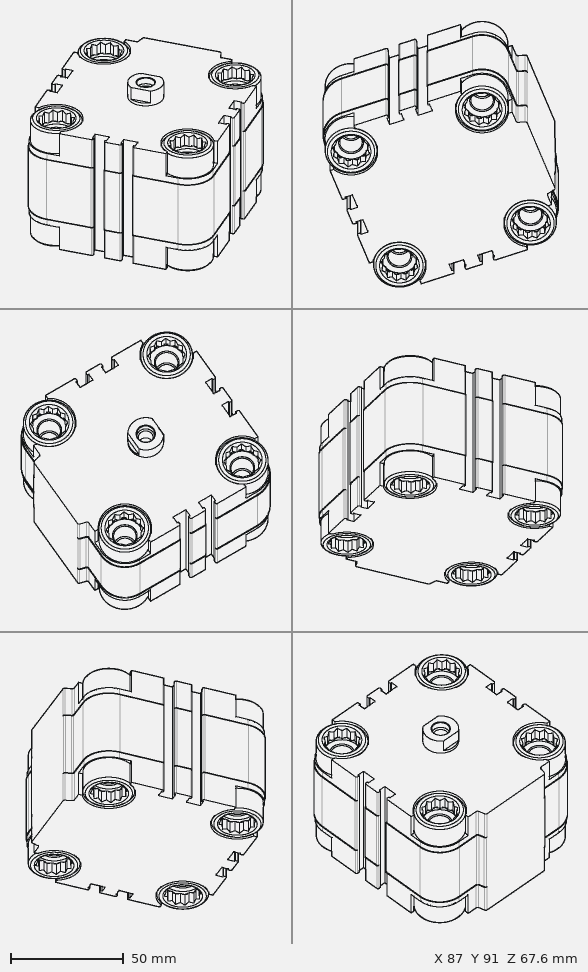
import cadquery as cq
import math

housing_height = 60.1
cap_height = 14.6
barrel_half = 43.5
cap_inset = 0.4
screw_offset = 31.0
corner_radius = barrel_half - screw_offset

rail_top_y = 91 - barrel_half
rail_half_width = 18.75
rail_flank_angle = 15
rail_fillet = 0.9

slot_offset = 6.7
slot_width = 6.7
slot_neck_width = 5.3
slot_floor = 38.1
slot_lip = 41.5
slot_mouth_radius = 0.6

screw_diameter = 23.0
screw_height = 11.5
screw_chamfer = 1.0
screw_clearance = 0.4
notch_reach = 5.8
socket_tip_diameter = 16.5
socket_depth = 6.4
socket_mouth_diameter = 17.65
socket_relief_depth = 8.0
thread_mouth_diameter = 11.0
thread_diameter = 10.0
thread_depth = 10.9
through_diameter = 8.4

rod_diameter = 16.0
rod_projection = 7.5
rod_seat_depth = 10.0
rod_flat_width = 13.0
rod_flat_height = 6.0
rod_mouth_diameter = 8.55
rod_thread_diameter = 8.0
rod_thread_depth = 3.2
rod_bore_diameter = 6.6
rod_bore_depth = 10.9
drill_tip_angle = 118


def cylinder(diameter, bottom, top):
    return cq.Workplane("XY").workplane(offset=bottom).circle(diameter / 2).extrude(top - bottom)


def cone(bottom_diameter, top_diameter, bottom, top):
    solid = cq.Solid.makeCone(
        bottom_diameter / 2, top_diameter / 2, top - bottom, pnt=cq.Vector(0, 0, bottom)
    )
    return cq.Workplane(solid)


def slot_cutter(half, height):
    """T-slot through a -Y side that lies at Y = -half; the mouth edges are rounded."""
    neck = slot_neck_width / 2
    wide = slot_width / 2
    flare = neck + slot_mouth_radius
    arc_start = half - slot_mouth_radius
    arc_inset = slot_mouth_radius * (1 - math.sqrt(0.5))
    outside = half + 0.9
    return (
        cq.Workplane("XY")
        .moveTo(-wide, -slot_floor)
        .lineTo(wide, -slot_floor)
        .lineTo(wide, -slot_lip)
        .lineTo(neck, -slot_lip)
        .lineTo(neck, -arc_start)
        .threePointArc((neck + arc_inset, -half + arc_inset), (flare, -half))
        .lineTo(flare, -outside)
        .lineTo(-flare, -outside)
        .lineTo(-flare, -half)
        .threePointArc((-neck - arc_inset, -half + arc_inset), (-neck, -arc_start))
        .lineTo(-neck, -slot_lip)
        .lineTo(-wide, -slot_lip)
        .close()
        .extrude(height)
    )


def slab(inset, height):
    """Slotted slice of the housing whose square sides are moved in by inset."""
    half = barrel_half - inset
    rail_half = rail_half_width - inset
    rail_foot = rail_half + (rail_top_y - half) * math.tan(math.radians(rail_flank_angle))
    outline = [
        (-half, -half),
        (half, -half),
        (half, half),
        (rail_foot, half),
        (rail_half, rail_top_y),
        (-rail_half, rail_top_y),
        (-rail_foot, half),
        (-half, half),
    ]
    body = cq.Workplane("XY").polyline(outline).close().extrude(height)
    corners = body.edges("|Z").filter(lambda edge: abs(edge.Center().x) > screw_offset)
    body = corners.fillet(corner_radius - inset)
    rail_edges = body.edges("|Z").filter(lambda edge: abs(edge.Center().x) < rail_foot + rail_fillet / 2)
    body = rail_edges.fillet(rail_fillet)

    cutter = slot_cutter(half, height)
    for side_angle in (-90, 0, 90):
        for offset in (-slot_offset, slot_offset):
            slot = cutter.translate((offset, 0, 0))
            body = body.cut(slot.rotate((0, 0, 0), (0, 0, 1), side_angle))
    return body


def screw_notch():
    """Open corner space around a screw head, with the screw axis at the origin (-X, -Y corner)."""
    size = notch_reach + 2 * corner_radius
    centre = notch_reach - size / 2
    square = cq.Workplane("XY").center(centre, centre).rect(size, size).extrude(screw_height)
    return square.union(cylinder(screw_diameter + 2 * screw_clearance, 0, screw_height))


def screw_head():
    """Chamfered round screw head with a twelve-point socket, its foot at Z = 0."""
    head = cylinder(screw_diameter, 0, screw_height).faces(">Z").chamfer(screw_chamfer)
    socket_bottom = screw_height - socket_depth
    for turn in (0, 30):
        hexagon = (
            cq.Workplane("XY")
            .workplane(offset=socket_bottom)
            .polygon(6, socket_tip_diameter)
            .extrude(socket_depth)
            .rotate((0, 0, 0), (0, 0, 1), turn)
        )
        head = head.cut(hexagon)
    head = head.cut(cylinder(socket_tip_diameter, screw_height - socket_relief_depth, socket_bottom))

    mouth_radius = socket_mouth_diameter / 2
    return head.cut(cone(0, socket_mouth_diameter, screw_height - mouth_radius, screw_height))


def screw_bore():
    """Chamfered thread below the socket and a narrower through hole, relative to the foot of the head."""
    socket_floor = screw_height - socket_relief_depth
    chamfer_depth = (thread_mouth_diameter - thread_diameter) / 2
    chamfer = cone(thread_diameter, thread_mouth_diameter, socket_floor - chamfer_depth, socket_floor)
    thread = cylinder(thread_diameter, socket_floor - thread_depth, socket_floor)
    through = cylinder(through_diameter, screw_height - housing_height / 2, socket_floor)
    return chamfer.union(thread).union(through)


def top_half():
    """Upper half of the housing, from its mid plane at Z = 0 upwards."""
    half_height = housing_height / 2
    cap_bottom = half_height - cap_height
    half_body = slab(0, cap_bottom).union(slab(cap_inset, cap_height).translate((0, 0, cap_bottom)))
    corner = (-screw_offset, -screw_offset, half_height - screw_height)
    notch = screw_notch().translate(corner)
    head = screw_head().translate(corner)
    bore = screw_bore().translate(corner)
    for quarter in range(4):
        turn = ((0, 0, 0), (0, 0, 1), 90 * quarter)
        half_body = half_body.cut(notch.rotate(*turn)).union(head.rotate(*turn)).cut(bore.rotate(*turn))
    return half_body


def make_housing():
    half_body = top_half()
    body = half_body.union(half_body.mirror("XY")).translate((0, 0, housing_height / 2))
    return body.cut(cylinder(rod_diameter, housing_height - rod_seat_depth, housing_height))


def make_piston_rod():
    top = housing_height + rod_projection
    rod = cylinder(rod_diameter, housing_height - rod_seat_depth, top)

    flats = (
        cq.Workplane("XY")
        .workplane(offset=top - rod_flat_height)
        .rect(rod_diameter, rod_diameter)
        .rect(rod_diameter, rod_flat_width)
        .extrude(rod_flat_height)
    )
    rod = rod.cut(flats)

    chamfer_bottom = top - (rod_mouth_diameter - rod_thread_diameter) / 2
    thread_bottom = top - rod_thread_depth
    taper_bottom = thread_bottom - (rod_thread_diameter - rod_bore_diameter) / 2
    bore_bottom = top - rod_bore_depth
    tip_depth = rod_bore_diameter / 2 / math.tan(math.radians(drill_tip_angle / 2))
    rod = rod.cut(cone(rod_thread_diameter, rod_mouth_diameter, chamfer_bottom, top))
    rod = rod.cut(cylinder(rod_thread_diameter, thread_bottom, top))
    rod = rod.cut(cone(rod_bore_diameter, rod_thread_diameter, taper_bottom, thread_bottom))
    rod = rod.cut(cylinder(rod_bore_diameter, bore_bottom, top))
    return rod.cut(cone(0, rod_bore_diameter, bore_bottom - tip_depth, bore_bottom))


housing = make_housing()
piston_rod = make_piston_rod()
result = cq.Compound.makeCompound([*housing.solids().vals(), *piston_rod.solids().vals()])